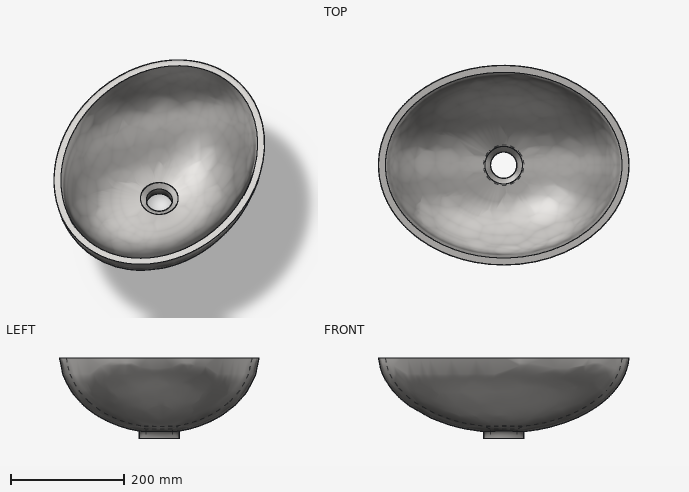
import cadquery as cq
import math

rim_length = 443.5
rim_width = 353.5
overall_height = 143.0
rim_thickness = 12.5
outer_depth = 132.5
inner_depth = 123.0
centre_rise = 7.0

collar_diameter = 71.5
drain_diameter = 46.0
seat_diameter = 66.5
seat_depth = 5.0
seat_rise = 1.5
seat_clearance = 4.5


def half_bowl(length, width, depth):
    """Solid part below the rim of an ellipsoid with the given rim oval and depth."""
    vertical_radius = depth + centre_rise
    rim_scale = math.sqrt(1 - (centre_rise / vertical_radius) ** 2)
    radius_x = length / 2 / rim_scale
    radius_y = width / 2 / rim_scale
    rim_angle = math.degrees(math.asin(centre_rise / vertical_radius))

    section = (
        cq.Workplane("XZ")
        .moveTo(0, 0)
        .lineTo(length / 2, 0)
        .ellipseArc(radius_x, vertical_radius, 270, 360 - rim_angle, sense=-1, startAtCurrent=True)
        .close()
    )
    round_bowl = section.revolve(360, (0, 0, 0), (0, 1, 0)).val()
    squeeze = cq.Matrix(
        [
            [1, 0, 0, 0],
            [0, radius_y / radius_x, 0, 0],
            [0, 0, 1, 0],
        ]
    )
    return cq.Workplane(obj=round_bowl.transformGeometry(squeeze))


def cylinder(diameter, bottom, top):
    """Vertical cylinder on the drain axis."""
    return cq.Workplane("XY").workplane(offset=bottom).circle(diameter / 2).extrude(top - bottom)


outer_bowl = half_bowl(rim_length, rim_width, outer_depth)
inner_bowl = half_bowl(rim_length - 2 * rim_thickness, rim_width - 2 * rim_thickness, inner_depth)
collar = cylinder(collar_diameter, -overall_height, -inner_depth)
basin = outer_bowl.union(collar).cut(inner_bowl)

seat_top = -inner_depth + seat_rise
seat_bottom = seat_top - seat_depth
seat = (
    cq.Workplane("XY")
    .workplane(offset=seat_bottom)
    .circle(drain_diameter / 2)
    .workplane(offset=seat_depth)
    .circle(seat_diameter / 2)
    .loft()
)
seat_bore = cylinder(seat_diameter, seat_top, seat_top + seat_clearance)
drain = cylinder(drain_diameter, -overall_height, seat_top)

result = basin.cut(seat).cut(seat_bore).cut(drain)